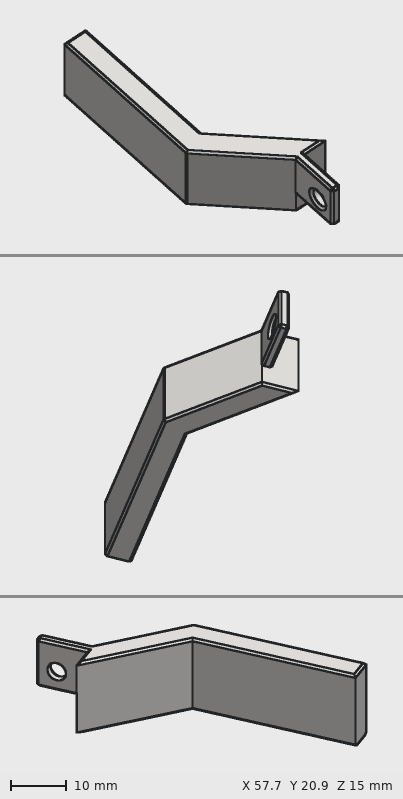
import cadquery as cq
import math

length = 57.7
height = 15.0
wall = 5.0
outer_bend_x = 33.7
depth = 20.9
body_end = 47.65
tab_height = 10.05
tab_thickness = 2.0
tab_front = 13.9
bevel = 0.45
bend_bevel = 0.25
hole_diameter = 3.6
hole_mouth_diameter = 4.7
hole_from_end = 4.05
hole_from_top = 6.0

inner_bend_x = body_end - (depth - wall)
tab_bottom = height - tab_height
hole_x = length - hole_from_end
hole_z = height - hole_from_top
tolerance = 0.005


def make_body():
    """Bent bar: a straight leg followed by an oblique leg with a sharp tip."""
    return (
        cq.Workplane("XY")
        .moveTo(0, 0)
        .lineTo(outer_bend_x, 0)
        .lineTo(body_end, body_end - outer_bend_x)
        .lineTo(body_end, depth)
        .lineTo(inner_bend_x, wall)
        .lineTo(0, wall)
        .close()
        .extrude(height)
    )


def make_tab():
    """Thin plate that starts inside the oblique leg; its free end is bevelled."""
    tab_start = outer_bend_x + tab_front
    tab = cq.Workplane("XY").box(
        length - tab_start, tab_thickness, tab_height, centered=False
    )
    tab = tab.translate((tab_start, tab_front, tab_bottom))
    return tab.faces(">X").edges("|Z").chamfer(bevel)


def bevel_rims(solid):
    """Bevel the top rim and the lower rims, leaving the lower edge of the -X end sharp."""
    lower_body = solid.faces("<Z").edges().filter(lambda edge: edge.Center().x > tolerance)
    solid = lower_body.chamfer(bevel)
    solid = solid.faces(">Z").edges().chamfer(bevel)

    def on_tab_underside(edge):
        center = edge.Center()
        at_level = abs(center.z - tab_bottom) < tolerance
        return at_level and center.x > body_end + tolerance

    return solid.edges().filter(on_tab_underside).chamfer(bevel)


def bevel_outer_bend(solid):
    """Cut a narrow flat along the upright edge where the front faces meet."""
    rise = bend_bevel * math.sin(math.radians(45))
    run = bend_bevel * math.cos(math.radians(45))
    corner = (
        cq.Workplane("XY")
        .moveTo(outer_bend_x - bend_bevel, 0)
        .lineTo(outer_bend_x, 0)
        .lineTo(outer_bend_x + run, rise)
        .close()
        .extrude(height)
    )
    return solid.cut(corner)


def cut_hole(solid):
    """Through hole in the tab, countersunk on the front face."""
    mouth_depth = (hole_mouth_diameter - hole_diameter) / 2

    countersink = cq.Solid.makeCone(
        hole_mouth_diameter / 2,
        hole_diameter / 2,
        mouth_depth,
        cq.Vector(hole_x, tab_front, hole_z),
        cq.Vector(0, 1, 0),
    )
    bore = cq.Solid.makeCylinder(
        hole_diameter / 2,
        tab_thickness,
        cq.Vector(hole_x, tab_front, hole_z),
        cq.Vector(0, 1, 0),
    )
    return solid.cut(cq.Workplane(bore)).cut(cq.Workplane(countersink))


result = cut_hole(bevel_outer_bend(bevel_rims(make_body().union(make_tab()))))